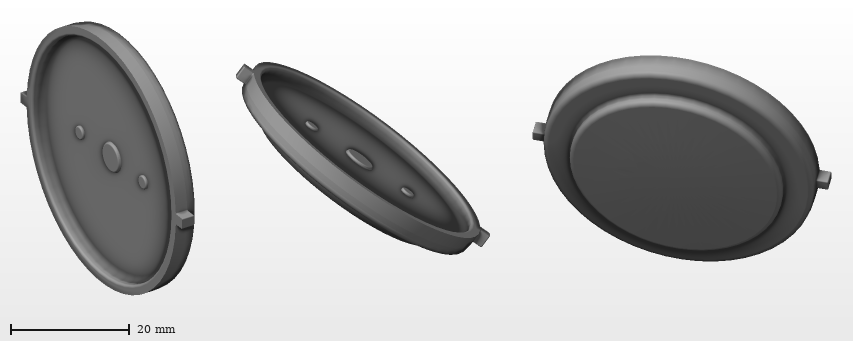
import cadquery as cq
import math


overall_width = 51.15
rim_radius = 23.6
rim_straight_depth = 2.3
shoulder_radius = 23.45
shoulder_depth = 4.3
shoulder_round = 0.95
tier_radius = 18.4
tier_foot_round = 0.45
tier_round = 0.85
dome_depth = 6.9
dome_sphere_radius = 291.6

recess_radius = 21.85
recess_depth = 2.3
lip_round = 0.45
floor_round = 1.0

lug_width = 2.0
lug_depth = 2.45
lug_root_round = 0.2
lug_edge_round = 0.2

peg_radius = 1.25
peg_offset = 10.0
peg_height = 0.5
peg_round = 0.25
pin_radius = 2.75
pin_height = 0.5
pin_wall_taper = 0.15
pin_round = 0.25
pin_seat_depth = 2.05

QUARTER = math.sqrt(0.5)


def arc_middle(center_r, center_y, radius, side_r, side_y):
    """Middle of a quarter round lying toward (side_r, side_y) from its centre."""
    return (center_r + side_r * QUARTER * radius, center_y + side_y * QUARTER * radius)


def on_circle(center_r, center_y, radius, angle):
    """Point on a circle, with the angle measured from +Y toward +X."""
    return (center_r + radius * math.sin(angle), center_y + radius * math.cos(angle))


def front_cylinder(radius, x, y_front, y_back):
    """Cylinder along Y between two depths."""
    return (
        cq.Workplane("XZ", origin=(x, y_front, 0))
        .circle(radius)
        .extrude(y_front - y_back)
    )


def make_disc():
    """Solid two-tier disc with a shallow dome, revolved about Y."""
    shoulder_center = (shoulder_radius - shoulder_round, shoulder_depth - shoulder_round)
    foot_center = (tier_radius + tier_foot_round, shoulder_depth + tier_foot_round)
    dome_center_y = dome_depth - dome_sphere_radius
    tier_center_r = tier_radius - tier_round
    tier_center_y = dome_center_y + math.sqrt((dome_sphere_radius - tier_round) ** 2 - tier_center_r**2)
    dome_edge_angle = math.atan2(tier_center_r, tier_center_y - dome_center_y)
    dome_edge = on_circle(0, dome_center_y, dome_sphere_radius, dome_edge_angle)
    dome_middle = on_circle(0, dome_center_y, dome_sphere_radius, dome_edge_angle / 2)
    tier_middle_angle = (dome_edge_angle + math.pi / 2) / 2
    tier_middle = on_circle(tier_center_r, tier_center_y, tier_round, tier_middle_angle)
    return (
        cq.Workplane("XY")
        .lineTo(rim_radius, 0)
        .lineTo(rim_radius, rim_straight_depth)
        .lineTo(shoulder_radius, shoulder_center[1])
        .threePointArc(
            arc_middle(*shoulder_center, shoulder_round, 1, 1),
            (shoulder_center[0], shoulder_depth),
        )
        .lineTo(foot_center[0], shoulder_depth)
        .threePointArc(
            arc_middle(*foot_center, tier_foot_round, -1, -1),
            (tier_radius, foot_center[1]),
        )
        .lineTo(tier_radius, tier_center_y)
        .threePointArc(tier_middle, dome_edge)
        .threePointArc(dome_middle, (0, dome_depth))
        .close()
        .revolve(360, (0, 0, 0), (0, 1, 0))
    )


def make_recess():
    """Round front recess, flared at the lip and filleted at the floor."""
    lip_center = (recess_radius + lip_round, lip_round)
    floor_center = (recess_radius - floor_round, recess_depth - floor_round)
    return (
        cq.Workplane("XY")
        .lineTo(lip_center[0], 0)
        .threePointArc(
            arc_middle(*lip_center, lip_round, -1, -1),
            (recess_radius, lip_center[1]),
        )
        .lineTo(recess_radius, floor_center[1])
        .threePointArc(
            arc_middle(*floor_center, floor_round, 1, 1),
            (floor_center[0], recess_depth),
        )
        .lineTo(0, recess_depth)
        .close()
        .revolve(360, (0, 0, 0), (0, 1, 0))
    )


def make_lug_plate():
    """Disc plate with two opposite lugs: filleted roots, rounded ends and rounded back edge.

    The rounding of its back edge stays inside the housing disc, so only the lugs show it.
    """
    bar = cq.Workplane("XY").box(
        overall_width, lug_depth, lug_width, centered=(True, False, True)
    )
    plate = front_cylinder(rim_radius, 0, 0, lug_depth).union(bar)
    lug_zone = cq.selectors.BoxSelector(
        (-overall_width, 0, -lug_width), (overall_width, lug_depth, lug_width)
    )
    root_edges = plate.edges("|Y").edges(lug_zone).edges("not(<X or >X)")
    plate = root_edges.fillet(lug_root_round)
    plate = plate.faces("<X or >X").edges("|Y").fillet(lug_edge_round)
    return plate.faces(">Y").edges().fillet(lug_edge_round)


def make_stud(radius, x, height, edge_round, root_depth):
    """Stud rising from the recess floor toward the front, with a rounded front edge."""
    stud = front_cylinder(radius, x, recess_depth - height, recess_depth + root_depth)
    return stud.faces("<Y").edges().fillet(edge_round)


def make_housing():
    housing = make_disc().union(make_lug_plate())
    housing = housing.cut(make_recess())
    for side in (-1, 1):
        housing = housing.union(make_stud(peg_radius, side * peg_offset, peg_height, peg_round, peg_round))
    return housing.cut(front_cylinder(pin_radius, 0, recess_depth, recess_depth + pin_seat_depth))


def make_pin():
    """Seated cylinder with a tapered, rounded head standing out of the recess floor."""
    head_top = recess_depth - pin_height
    side_top_radius = pin_radius - pin_wall_taper
    round_center = (side_top_radius - pin_round, head_top + pin_round)
    seat_end = recess_depth + pin_seat_depth
    return (
        cq.Workplane("XY")
        .moveTo(0, head_top)
        .lineTo(round_center[0], head_top)
        .threePointArc(
            arc_middle(*round_center, pin_round, 1, -1),
            (side_top_radius, round_center[1]),
        )
        .lineTo(pin_radius, recess_depth)
        .lineTo(pin_radius, seat_end)
        .lineTo(0, seat_end)
        .close()
        .revolve(360, (0, 0, 0), (0, 1, 0))
    )


housing = make_housing()
pin = make_pin()

result = cq.Compound.makeCompound([housing.val(), pin.val()])